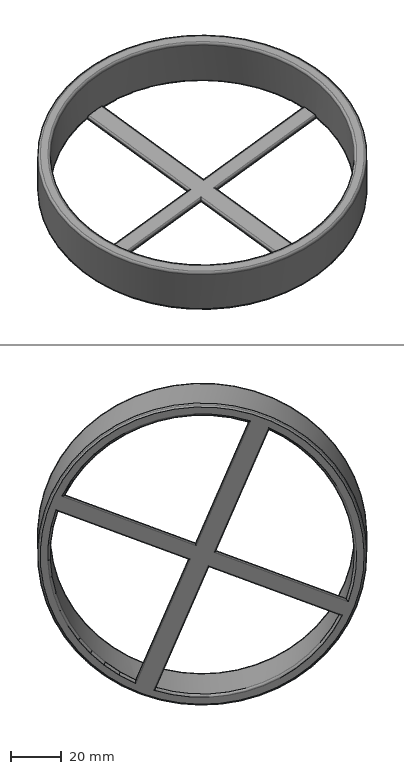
import cadquery as cq

outer_diameter = 130.0
inner_diameter = 120.0
ring_height = 22.0
edge_radius = 1.0

bevel_start_height = 1.5
bevel_break_height = 0.8
bevel_break_inset = 0.4
bevel_foot_inset = 1.0

bar_width_along_x = 8.5
bar_width_along_y = 7.0
bar_thickness = 1.8
bar_top_radius = 0.72
bar_bottom_radius = 0.4

outer_radius = outer_diameter / 2
inner_radius = inner_diameter / 2

bar_length = outer_radius + inner_radius


def make_ring():
    """Revolve the ring wall, then round its upper edges and its inner lower edge."""
    ring = (
        cq.Workplane("XZ")
        .moveTo(inner_radius, 0)
        .lineTo(outer_radius - bevel_foot_inset, 0)
        .lineTo(outer_radius - bevel_break_inset, bevel_break_height)
        .lineTo(outer_radius, bevel_start_height)
        .lineTo(outer_radius, ring_height)
        .lineTo(inner_radius, ring_height)
        .close()
        .revolve(360, (0, 0, 0), (0, 1, 0))
    )
    ring = ring.faces(">Z").edges().fillet(edge_radius)
    return ring.faces("<Z").edges(cq.selectors.RadiusNthSelector(0)).fillet(edge_radius)


def make_cross():
    """Two crossing flat bars with rounded long edges, above and below."""
    bar_along_x = cq.Workplane("XY").rect(bar_length, bar_width_along_x).extrude(bar_thickness)
    bar_along_y = cq.Workplane("XY").rect(bar_width_along_y, bar_length).extrude(bar_thickness)
    cross = bar_along_x.union(bar_along_y)

    reach = 0.4 * bar_length
    long_edge_box = cq.selectors.BoxSelector((-reach, -reach, -bar_thickness), (reach, reach, 2 * bar_thickness))
    cross = cross.faces(">Z").edges(long_edge_box).fillet(bar_top_radius)
    return cross.faces("<Z").edges(long_edge_box).fillet(bar_bottom_radius)


result = make_ring().union(make_cross())